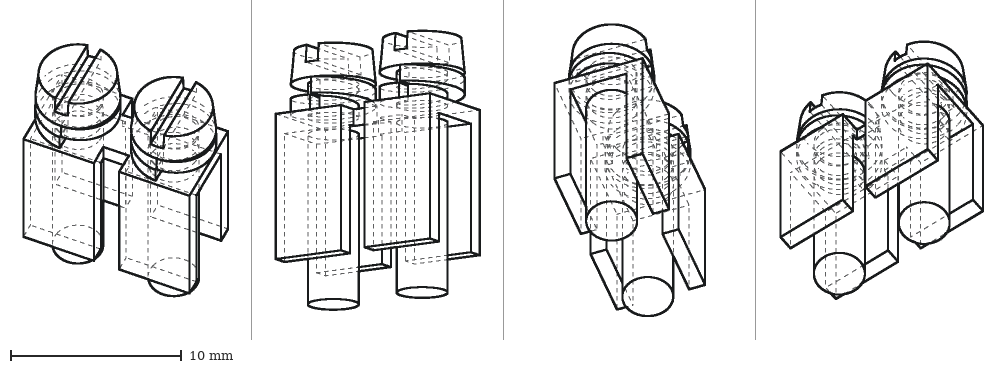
import cadquery as cq

bridge_length = 10.69
bridge_width = 5.5
bridge_height = 8.71
wall = 1.0
web_length = 1.63
web_width = 2.74
channel_length = (bridge_length - web_length) / 2
screw_pitch = channel_length + web_length

tip_length = 2.48
shank_diameter = 3.0
head_diameter = 5.0
head_top_diameter = 4.62
head_height = 2.0
slot_width = 0.84
slot_depth = 1.05

washer_height = 2.0
washer_thickness = 0.95
washer_gap_angle = 2.0
washer_overlap = 0.08

bridge_top = tip_length + bridge_height
head_base = bridge_top + washer_height
total_height = head_base + head_height


def make_channel():
    outer = cq.Workplane("XY").box(channel_length, bridge_width, bridge_height, centered=(True, True, False))
    inner = cq.Workplane("XY").box(
        channel_length, bridge_width - 2 * wall, bridge_height - wall, centered=(True, True, False)
    )
    return outer.cut(inner).translate((0, 0, tip_length))


def make_web():
    web = cq.Workplane("XY").box(web_length, web_width, wall, centered=(True, True, False))
    return web.translate((0, 0, bridge_top - wall))


def make_screw():
    shank = cq.Workplane("XY").circle(shank_diameter / 2).extrude(head_base)
    head = (
        cq.Workplane("XY", origin=(0, 0, head_base))
        .circle(head_diameter / 2)
        .workplane(offset=head_height)
        .circle(head_top_diameter / 2)
        .loft(ruled=True)
    )
    slot = cq.Workplane("XY").box(slot_width, head_diameter, slot_depth, centered=(True, True, False))
    return shank.union(head).cut(slot.translate((0, 0, total_height - slot_depth)))


def make_washer():
    inner_radius = shank_diameter / 2 - washer_overlap
    outer_radius = head_diameter / 2
    rise = washer_height - washer_thickness
    turn_fraction = (360 - washer_gap_angle) / 360
    path = cq.Wire.makeHelix(rise / turn_fraction, rise, inner_radius, lefthand=True)
    ring = (
        cq.Workplane("XZ")
        .moveTo(inner_radius, 0)
        .rect(outer_radius - inner_radius, washer_thickness, centered=False)
        .sweep(cq.Workplane(path), isFrenet=True)
    )
    start_angle = -90 - washer_gap_angle / 2
    return ring.rotate((0, 0, 0), (0, 0, 1), start_angle).translate((0, 0, bridge_top))


station = make_channel().union(make_screw()).union(make_washer())
result = make_web()
for side in (-1, 1):
    result = result.union(station.translate((side * screw_pitch / 2, 0, 0)))